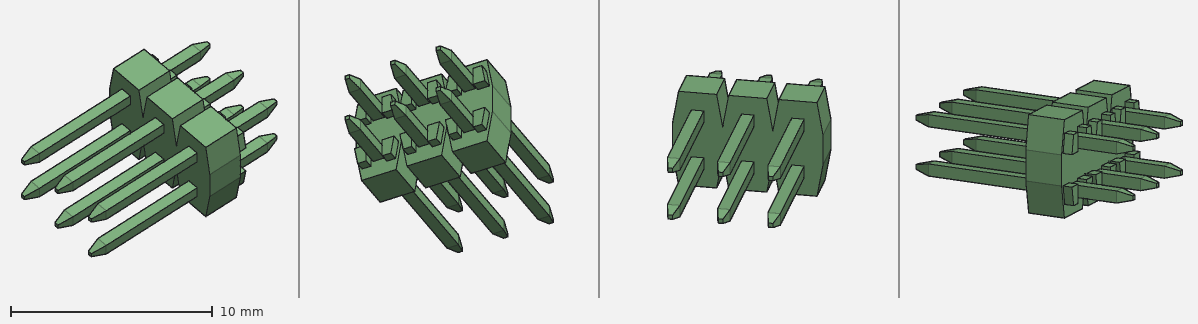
import cadquery as cq

columns = 3
rows = 2
pitch = 2.54

body_depth = 2.0
body_height = rows * pitch
body_taper = 0.3
waist_half_height = 0.8

pin_length = 12.15
pin_width = 0.63
pin_front_length = 6.75
tip_length = 0.8
tip_width = 0.23

foot_depth = 0.5
foot_inset = 0.16
foot_pin_gap = 0.13
foot_low = 0.84
foot_high = 1.83

taper_slope = body_taper / (body_height / 2 - waist_half_height)
column_places = [(i - (columns - 1) / 2) * pitch for i in range(columns)]
row_places = [(i - (rows - 1) / 2) * pitch for i in range(rows)]


def extrude_along_y(points, start, depth):
    """Extrude an X-Z outline from Y = start to Y = start + depth."""
    plane = cq.Workplane("XZ", origin=(0, start, 0))
    return plane.polyline(points).close().extrude(-depth)


def flank_x(z):
    """Distance of a bay's tapered flank from the bay's centre at height z."""
    return pitch / 2 - taper_slope * (abs(z) - waist_half_height)


def make_bay(x):
    """One body bay: a rectangle tapered above and below its waist."""
    top = body_height / 2
    right_side = [
        (flank_x(top), -top),
        (pitch / 2, -waist_half_height),
        (pitch / 2, waist_half_height),
        (flank_x(top), top),
    ]
    left_side = [(-px, pz) for px, pz in reversed(right_side)]
    return extrude_along_y(right_side + left_side, 0, body_depth).translate((x, 0, 0))


def make_pin(x, z):
    """A square pin with a pyramidal tip on each end."""
    front_end = -pin_front_length
    shank_start = front_end + tip_length
    shank_length = pin_length - 2 * tip_length
    plane = cq.Workplane("XZ", origin=(0, shank_start, 0))
    shank = plane.rect(pin_width, pin_width).extrude(-shank_length)

    def add_tip(selector):
        return (
            shank.faces(selector)
            .workplane()
            .rect(pin_width, pin_width)
            .workplane(offset=tip_length)
            .rect(tip_width, tip_width)
            .loft(combine=False)
        )

    pin = shank.union(add_tip("<Y")).union(add_tip(">Y"))
    return pin.translate((x, 0, z))


def make_foot(x, x_side, z_side):
    """A standoff foot whose outer side runs parallel to the bay's flank."""
    inner = pin_width / 2 + foot_pin_gap
    outline = [
        (inner, foot_low),
        (flank_x(foot_low) - foot_inset, foot_low),
        (flank_x(foot_high) - foot_inset, foot_high),
        (inner, foot_high),
    ]
    points = [(x + x_side * px, z_side * pz) for px, pz in outline]
    return extrude_along_y(points, body_depth, foot_depth)


result = make_bay(column_places[0])
for column_x in column_places[1:]:
    result = result.union(make_bay(column_x))

for column_x in column_places:
    for row_z in row_places:
        result = result.union(make_pin(column_x, row_z))
    for x_sign in (-1, 1):
        for z_sign in (-1, 1):
            result = result.union(make_foot(column_x, x_sign, z_sign))

result = result.clean()